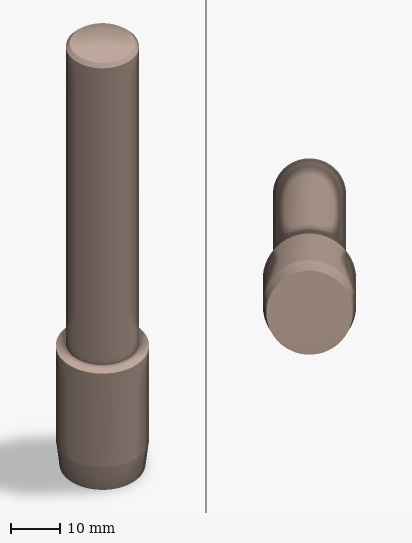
import cadquery as cq

shank_diameter = 14.9
shank_chamfer = 0.8

head_diameter = 19.05
shoulder_diameter = shank_diameter
shoulder_height = 0.6
lead_diameter = 17.6
lead_height = 6.35

overall_height = 108.0
head_height = 31.0


def make_head():
    """Round head with a tapered lead at the bottom and a shallow conical shoulder on top."""
    profile = (
        cq.Workplane("XZ")
        .lineTo(lead_diameter / 2, 0)
        .lineTo(head_diameter / 2, lead_height)
        .lineTo(head_diameter / 2, head_height - shoulder_height)
        .lineTo(shoulder_diameter / 2, head_height)
        .lineTo(0, head_height)
        .close()
    )
    return profile.revolve(360, (0, 0, 0), (0, 1, 0))


def make_shank():
    """Plain cylinder standing on the head, chamfered at its free end."""
    return (
        cq.Workplane("XY", origin=(0, 0, head_height))
        .circle(shank_diameter / 2)
        .extrude(overall_height - head_height)
        .faces(">Z")
        .chamfer(shank_chamfer)
    )


head = make_head()
shank = make_shank()

result = cq.Compound.makeCompound([head.val(), shank.val()])